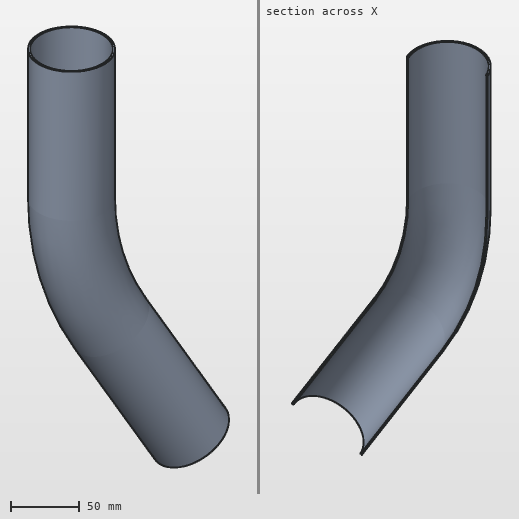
import cadquery as cq
import math

outer_diameter = 63.5
inner_diameter = 60.3

leg_length = 2 * outer_diameter
bend_radius = 228.6
bend_angle = 30.0


def bend_point(angle):
    """Point (y, z) on the bend centreline, the given degrees below the upper leg."""
    turn = math.radians(angle)
    return (bend_radius * (1 - math.cos(turn)), -bend_radius * math.sin(turn))


bend_start = bend_point(0)
bend_middle = bend_point(bend_angle / 2)
bend_end = bend_point(bend_angle)

lower_end = (
    bend_end[0] + leg_length * math.sin(math.radians(bend_angle)),
    bend_end[1] - leg_length * math.cos(math.radians(bend_angle)),
)

centreline = (
    cq.Workplane("YZ")
    .moveTo(0, leg_length)
    .lineTo(*bend_start)
    .threePointArc(bend_middle, bend_end)
    .lineTo(*lower_end)
)

result = (
    cq.Workplane("XY")
    .workplane(offset=leg_length)
    .circle(outer_diameter / 2)
    .circle(inner_diameter / 2)
    .sweep(centreline)
)